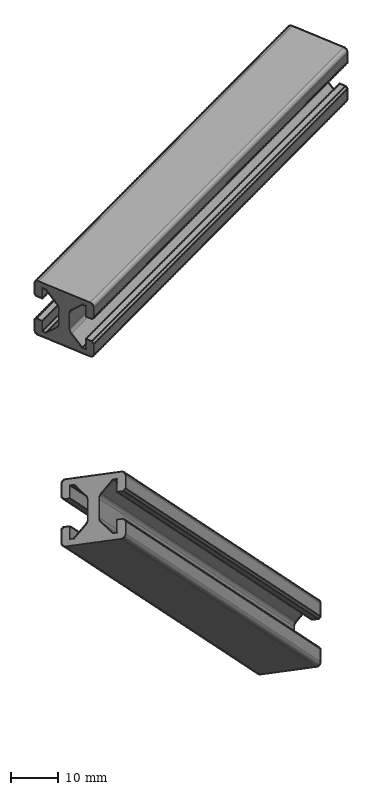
import cadquery as cq

pick = 0.1

length = 100.0
size = 15.0
half = size / 2

slot_opening = 6.2
lip_thickness = 2.0
flange_thickness = 1.5
floor_width = 0.9
web_thickness = 2.7

corner_radius = 1.0
lip_chamfer = 0.5
web_radius = 1.5

lip_inner_x = half - lip_thickness
lip_end_z = slot_opening / 2
floor_z = half - flange_thickness
floor_end_x = lip_inner_x - floor_width
web_x = web_thickness / 2
web_top_z = floor_z - (floor_end_x - web_x)


def slot_cutter(side):
    """Undercut slot along the whole bar; side is -1 for -X and +1 for +X."""
    upper = [
        (half, lip_end_z),
        (lip_inner_x, lip_end_z),
        (lip_inner_x, floor_z),
        (floor_end_x, floor_z),
        (web_x, web_top_z),
    ]
    lower = [(x, -z) for x, z in reversed(upper)]
    outline = [(side * x, z) for x, z in upper + lower]
    slot = cq.Workplane("XZ").polyline(outline).close().extrude(length / 2, both=True)
    web_edges = cq.selectors.BoxSelector(
        (side * web_x - pick, -length, -half),
        (side * web_x + pick, length, half),
    )
    return slot.edges("|Y").edges(web_edges).fillet(web_radius)


result = cq.Workplane("XY").box(size, length, size).edges("|Y").fillet(corner_radius)

for side in (-1, 1):
    result = result.cut(slot_cutter(side))
    lip_edges = cq.selectors.BoxSelector(
        (side * half - pick, -length, -lip_end_z - pick),
        (side * half + pick, length, lip_end_z + pick),
    )
    result = result.edges("|Y").edges(lip_edges).chamfer(lip_chamfer)